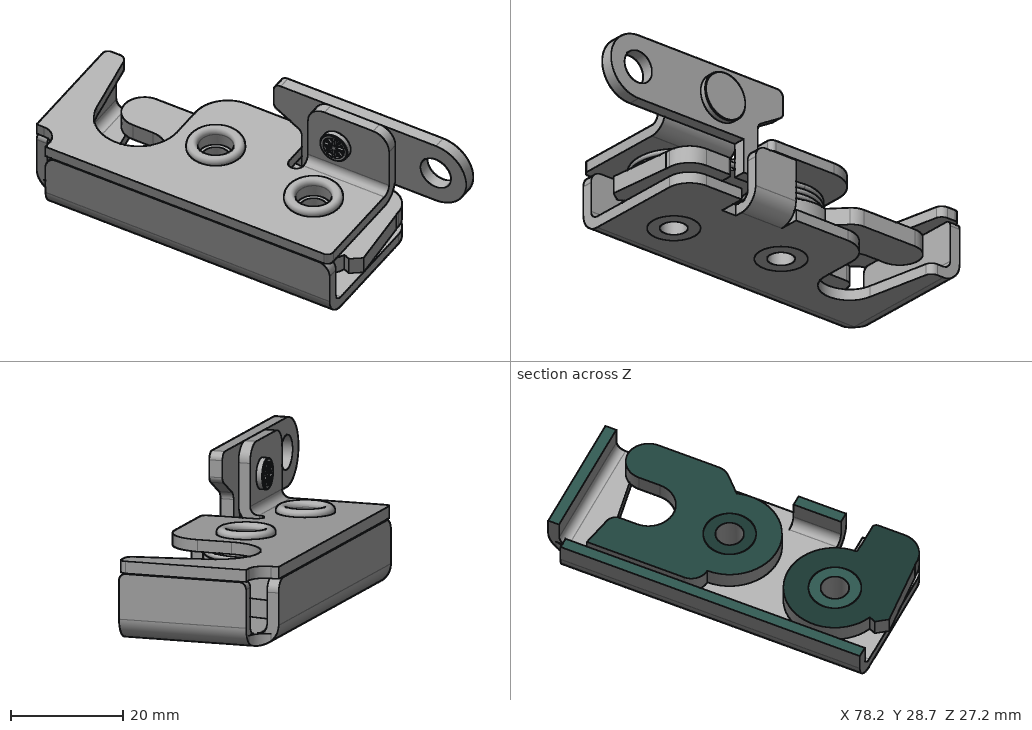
import cadquery as cq
import math

sheet = 2.2
overall_length = 78.2
case_length = 63.5
case_width = 28.6
wall_top = 12.1
cover_bottom = 12.3
cover_top = cover_bottom + sheet
overcut = 0.8

outer_bend = 3.9
inner_bend = outer_bend - sheet
front_wall_corner = 2.35
left_wall_corner = 1.2
rear_corner = 4.7
rear_wall_left = 38.0
rear_wall_right = 47.4
floor_relief_width = 3.2
floor_relief_depth = 5.5

notch_size = 4.5
notch_corner = 3.05

jaw_x = 14.6
jaw_y = 15.5
jaw_lean = 10.0
cover_jaw_radius = 8.0
floor_jaw_radius = 5.6
mouth_left_radius = 1.6
cover_mouth_radius = 6.65
floor_mouth_radius = 5.8

cover_corner = 1.2
tab_left = 46.7
relief_width = 2.9
relief_end = 17.5
relief_end_radius = 1.4
relief_mouth_radius = 1.0
tab_bend = 1.6
tab_front = 20.6
tab_back = tab_front + sheet
tab_corner = 3.4

rotor_pivot = (30.6, 15.55)
pawl_pivot = (52.8, 12.35)
bushing_diameter = 9.5
bushing_bore = 5.0
bushing_counterbore = 6.4
counterbore_depth = 2.2
rim_center_diameter = 8.5
rim_height = 1.25

cam_bottom = 4.1
cam_top = 7.4
rotor_radius = 9.4
rotor_front = 3.05
arm_radius = 4.15
arm_tip_x = 10.5
throat_radius = 4.85
lower_arm_tip = 1.95
lower_arm_x = 9.8
toe_x = 8.3
heel_radius = 3.1
shoulder_x = 23.7
shoulder_radius = 3.5
pawl_radius = 9.2
pawl_lug_left = 52.85
pawl_lug_corner = 0.8
tail_top = (63.55, 23.05)
tail_tip = (64.65, 9.85)
tail_bottom = (62.5, 8.3)

wire_diameter = 1.0
coil_pitch = 1.1
coil_turns = 3
coil_bottom = 8.1
coil_top = coil_bottom + coil_pitch * coil_turns
rotor_coil_radius = 7.1
pawl_coil_radius = 7.8

lever_thickness = 2.5
lever_back = tab_back + lever_thickness
lever_end_radius = 6.3
lever_end_x = overall_length - lever_end_radius
lever_top = 27.2
lever_axis = lever_top - lever_end_radius
lever_bottom = lever_axis - lever_end_radius
lever_hole = 6.3
lever_left = 38.2
nose_bottom = 22.0
nose_slope = 30.0
leg_left = 44.1
leg_right = 47.4
nose_top_radius = 1.4
nose_bottom_radius = 1.25
nose_root_radius = 1.65
leg_bottom = 7.8

rivet_x = 52.7
shank_diameter = 5.2
head_diameter = 9.4
head_thickness = 1.3
head_chamfer = 0.15
staked_diameter = 5.7
staked_thickness = 1.25
staked_chamfer = 0.15
rosette_diameter = 4.3
rosette_depth = 0.6
rosette_core = 1.0
rosette_ribs = 8
rosette_rib_width = 0.4


def block(x0, x1, y0, y1, z0, z1):
    return cq.Workplane("XY").box(x1 - x0, y1 - y0, z1 - z0, centered=False).translate((x0, y0, z0))


def post(center, diameter, z0, z1):
    return cq.Workplane("XY").workplane(offset=z0).center(*center).circle(diameter / 2).extrude(z1 - z0)


def rod_along_y(diameter, y0, y1):
    """Cylinder on the rivet axis from y0 to y1."""
    plane = cq.Plane(origin=(rivet_x, y0, lever_axis), xDir=(1, 0, 0), normal=(0, 1, 0))
    return cq.Workplane(plane).circle(diameter / 2).extrude(y1 - y0)


def round_edge(body, direction, point, radius):
    """Fillet the edge parallel to an axis that lies nearest to a point."""
    edge = body.edges("|" + direction).edges(cq.selectors.NearestToPointSelector(point))
    return edge.fillet(radius)


def corner_notch(z1):
    """Square cutter with one rounded edge, reaching from below the floor up to z1."""
    notch = block(-overcut, notch_size, -overcut, notch_size, -overcut, z1)
    return round_edge(notch, "Z", (notch_size, notch_size, z1 / 2), notch_corner)


def cut_jaw(body, radius, right_mouth_radius, z0, z1):
    """Cut the jaw slot into a sheet lying between z0 and z1, with rounded mouth corners."""
    lean = math.radians(jaw_lean)
    left_x = jaw_x - radius * math.cos(lean)
    left_y = jaw_y - radius * math.sin(lean)
    mouth_x = left_x - (case_width - left_y) * math.tan(lean)
    right_x = jaw_x + radius
    slot = (
        cq.Workplane("XY").workplane(offset=z0)
        .moveTo(mouth_x, case_width)
        .lineTo(left_x, left_y)
        .threePointArc((jaw_x, jaw_y - radius), (right_x, jaw_y))
        .lineTo(right_x, case_width)
        .close()
        .extrude(z1 - z0)
    )
    body = body.cut(slot)
    mid_z = (z0 + z1) / 2
    body = round_edge(body, "Z", (mouth_x, case_width, mid_z), mouth_left_radius)
    return round_edge(body, "Z", (right_x, case_width, mid_z), right_mouth_radius)


def add_rear_wall(housing):
    """Bend a short wall up from the rear edge of the floor, with a relief slot at its right end."""
    relief_right = rear_wall_right + floor_relief_width
    relief_front = case_width - floor_relief_depth
    wall = block(rear_wall_left, rear_wall_right, relief_front, case_width, 0, wall_top)
    wall = wall.edges(">Y and <Z").fillet(outer_bend)
    inside = block(rear_wall_left, rear_wall_right, 0, case_width - sheet, sheet, wall_top)
    wall = wall.cut(inside.edges(">Y and <Z").fillet(inner_bend))
    wall = round_edge(wall, "Y", (rear_wall_right, case_width, wall_top), front_wall_corner)
    floor_edge = block(rear_wall_left, relief_right, relief_front, case_width, 0, sheet)
    return housing.cut(floor_edge).union(wall)


def make_housing():
    """Floor with a bent-up left wall and front wall, open to the right and the rear."""
    housing = block(0, case_length, 0, case_width, 0, wall_top)
    housing = housing.edges("<Z and (<X or <Y)").fillet(outer_bend)
    cavity = block(sheet, case_length + overcut, sheet, case_width + overcut, sheet, wall_top + overcut)
    cavity = cavity.edges("<Z and (<X or <Y)").fillet(inner_bend)
    housing = housing.cut(cavity).cut(corner_notch(wall_top + overcut))
    housing = housing.cut(block(0, notch_size, 0, notch_size, sheet, wall_top))

    for x in (notch_size, case_length):
        housing = round_edge(housing, "Y", (x, sheet / 2, wall_top), front_wall_corner)
    for y in (notch_size, case_width):
        housing = round_edge(housing, "X", (0, y, wall_top), left_wall_corner)
    housing = round_edge(housing, "Z", (case_length, case_width, sheet / 2), rear_corner)

    housing = cut_jaw(housing, floor_jaw_radius, floor_mouth_radius, 0, sheet)
    housing = add_rear_wall(housing)
    for pivot in (rotor_pivot, pawl_pivot):
        housing = housing.cut(post(pivot, bushing_diameter, 0, sheet))
    return housing


def make_tab():
    """Upright tab with its bend, extruded along X."""
    bend_start = tab_front - tab_bend
    bend_z = cover_top + tab_bend
    inner = tab_bend * math.sqrt(0.5)
    outer = (tab_bend + sheet) * math.sqrt(0.5)
    tab = (
        cq.Workplane("YZ").workplane(offset=tab_left)
        .moveTo(bend_start, cover_bottom)
        .threePointArc((bend_start + outer, bend_z - outer), (tab_back, bend_z))
        .lineTo(tab_back, lever_top)
        .lineTo(tab_front, lever_top)
        .lineTo(tab_front, bend_z)
        .threePointArc((bend_start + inner, bend_z - inner), (bend_start, cover_top))
        .close()
        .extrude(case_length - tab_left)
    )
    return tab.edges("|Y and >Z").fillet(tab_corner)


def make_cover():
    """Flat cover with the jaw slot and an upright tab for the lever."""
    relief_left = tab_left - relief_width
    mid_z = (cover_bottom + cover_top) / 2
    cover = block(0, case_length, 0, case_width, cover_bottom, cover_top)
    cover = cover.cut(corner_notch(cover_top + overcut))
    cover = cut_jaw(cover, cover_jaw_radius, cover_mouth_radius, cover_bottom, cover_top)
    for corner in ((0, case_width, mid_z), (case_length, 0, mid_z)):
        cover = round_edge(cover, "Z", corner, cover_corner)

    relief = block(relief_left, tab_left, relief_end, case_width, cover_bottom, cover_top)
    relief = relief.edges("|Z and <Y").fillet(relief_end_radius)
    behind_tab = block(tab_left, case_length, tab_front - tab_bend, case_width, cover_bottom, cover_top)
    cover = cover.cut(relief).cut(behind_tab)
    cover = round_edge(cover, "Z", (relief_left, case_width, mid_z), relief_mouth_radius)

    cover = cover.union(make_tab())
    cover = cover.cut(rod_along_y(shank_diameter, tab_front, tab_back))
    for pivot in (rotor_pivot, pawl_pivot):
        cover = cover.cut(post(pivot, bushing_diameter, cover_bottom, cover_top))
    return cover


def make_bushing(pivot):
    """Hollow bushing from the floor to the cover, with a rolled rim on top."""
    rim_radius = (rim_center_diameter - bushing_counterbore) / 2
    rim_inside = bushing_counterbore / 2
    rim_center = rim_center_diameter / 2
    rim_top = cover_top + rim_height
    rim_mid = rim_top - rim_radius
    rim_foot = rim_center + math.sqrt(rim_radius**2 - (rim_mid - cover_top) ** 2)
    ledge_z = cover_top - counterbore_depth
    profile = (
        cq.Workplane("XZ")
        .moveTo(bushing_bore / 2, 0)
        .lineTo(bushing_diameter / 2, 0)
        .lineTo(bushing_diameter / 2, cover_top)
        .lineTo(rim_foot, cover_top)
        .threePointArc((rim_center, rim_top), (rim_inside, rim_mid))
        .lineTo(rim_inside, ledge_z)
        .lineTo(bushing_bore / 2, ledge_z)
        .close()
    )
    return profile.revolve(360, (0, 0, 0), (0, 1, 0)).translate((*pivot, 0))


def make_rotor():
    """C-shaped rotor: a round body with two arms around the throat."""
    thickness = cam_top - cam_bottom
    throat_top = jaw_y + throat_radius
    throat_bottom = jaw_y - throat_radius
    arm_top = throat_top + 2 * arm_radius
    arm_mid = throat_top + arm_radius
    layer = cq.Workplane("XY").workplane(offset=cam_bottom)

    rotor = layer.center(*rotor_pivot).circle(rotor_radius).extrude(thickness)
    upper_arm = (
        layer.moveTo(arm_tip_x, throat_top)
        .threePointArc((arm_tip_x - arm_radius, arm_mid), (arm_tip_x, arm_top))
        .lineTo(shoulder_x, arm_top)
        .lineTo(rotor_pivot[0], arm_top - (rotor_pivot[0] - shoulder_x))
        .lineTo(rotor_pivot[0], throat_top)
        .close()
        .extrude(thickness)
    )
    upper_arm = round_edge(upper_arm, "Z", (shoulder_x, arm_top, cam_top), shoulder_radius)
    web = block(jaw_x, rotor_pivot[0], rotor_front, throat_top, cam_bottom, cam_top)
    web = round_edge(web, "Z", (rotor_pivot[0], rotor_front, cam_top), heel_radius)
    lower_arm = (
        layer.moveTo(lower_arm_x, throat_bottom)
        .lineTo(jaw_x, throat_bottom)
        .lineTo(jaw_x, rotor_front)
        .lineTo(toe_x, rotor_front)
        .close()
        .extrude(thickness)
    )
    lower_arm = round_edge(lower_arm, "Z", (lower_arm_x, throat_bottom, cam_top), lower_arm_tip)

    rotor = rotor.union(upper_arm).union(web).union(lower_arm)
    rotor = rotor.cut(post((jaw_x, jaw_y), 2 * throat_radius, cam_bottom, cam_top))
    return rotor.cut(post(rotor_pivot, bushing_diameter, cam_bottom, cam_top))


def make_pawl():
    """Pawl: a round body with a lug to the rear and a tail past the right end of the housing."""
    thickness = cam_top - cam_bottom
    pawl = post(pawl_pivot, 2 * pawl_radius, cam_bottom, cam_top)
    lug = block(pawl_lug_left, case_length, pawl_pivot[1], case_width, cam_bottom, cam_top)
    lug = round_edge(lug, "Z", (pawl_lug_left, case_width, cam_top), pawl_lug_corner)
    lug = round_edge(lug, "Z", (case_length, case_width, cam_top), rear_corner)
    tail = (
        cq.Workplane("XY").workplane(offset=cam_bottom)
        .polyline([pawl_pivot, (pawl_pivot[0], tail_top[1]), tail_top, tail_tip, tail_bottom])
        .close()
        .extrude(thickness)
    )
    return pawl.union(lug).union(tail).cut(post(pawl_pivot, bushing_diameter, cam_bottom, cam_top))


def make_coil(pivot, radius, end_angle, left_handed):
    """Coil that ends at its top at the given angle about its pivot."""
    helix = cq.Wire.makeHelix(coil_pitch, coil_pitch * coil_turns, radius, lefthand=left_handed)
    coil = cq.Workplane("XZ").center(radius, 0).circle(wire_diameter / 2).sweep(helix, isFrenet=True)
    return coil.rotate((0, 0, 0), (0, 0, 1), end_angle).translate((*pivot, coil_bottom))


def make_spring():
    """Double torsion spring: opposite coils around both bushings, joined by a tangent leg."""
    dx = pawl_pivot[0] - rotor_pivot[0]
    dy = pawl_pivot[1] - rotor_pivot[1]
    distance = math.hypot(dx, dy)
    rise = math.asin((pawl_coil_radius - rotor_coil_radius) / distance)
    leg_angle = math.atan2(dy, dx) + rise
    end_angle = math.degrees(leg_angle) + 90
    leg_start = (
        rotor_pivot[0] - rotor_coil_radius * math.sin(leg_angle),
        rotor_pivot[1] + rotor_coil_radius * math.cos(leg_angle),
        coil_top,
    )
    leg_length = distance * math.cos(rise)
    leg_plane = cq.Plane(
        origin=leg_start,
        xDir=(0, 0, 1),
        normal=(math.cos(leg_angle), math.sin(leg_angle), 0),
    )
    leg = cq.Workplane(leg_plane).circle(wire_diameter / 2).extrude(leg_length)
    rotor_coil = make_coil(rotor_pivot, rotor_coil_radius, end_angle, left_handed=True)
    pawl_coil = make_coil(pawl_pivot, pawl_coil_radius, end_angle, left_handed=False)
    return rotor_coil.union(leg).union(pawl_coil)


def make_lever():
    """Flat lever with a nose, a rounded eye and a leg that reaches below the cover."""
    slope = math.tan(math.radians(nose_slope))
    root_z = nose_bottom - (leg_left - lever_left) * slope
    mid_y = (tab_back + lever_back) / 2
    lever = (
        cq.Workplane("XZ", origin=(0, lever_back, 0))
        .moveTo(lever_left, lever_top)
        .lineTo(lever_end_x, lever_top)
        .threePointArc((lever_end_x + lever_end_radius, lever_axis), (lever_end_x, lever_bottom))
        .lineTo(leg_right, lever_bottom)
        .lineTo(leg_right, leg_bottom)
        .lineTo(leg_left, leg_bottom)
        .lineTo(leg_left, root_z)
        .lineTo(lever_left, nose_bottom)
        .close()
        .extrude(lever_thickness)
    )
    lever = round_edge(lever, "Y", (lever_left, mid_y, lever_top), nose_top_radius)
    lever = round_edge(lever, "Y", (lever_left, mid_y, nose_bottom), nose_bottom_radius)
    lever = round_edge(lever, "Y", (leg_left, mid_y, root_z), nose_root_radius)

    eye = cq.Workplane("XZ", origin=(lever_end_x, lever_back, lever_axis))
    lever = lever.cut(eye.circle(lever_hole / 2).extrude(lever_thickness))
    return lever.cut(rod_along_y(shank_diameter, tab_back, lever_back))


def make_rivet():
    """Rivet with a flat head behind the lever and a staked rosette in front of the tab."""
    staked_face = tab_front - staked_thickness
    staked = rod_along_y(staked_diameter, staked_face, tab_front).faces("<Y").chamfer(staked_chamfer)
    recess_floor = staked_face + rosette_depth
    recess = rod_along_y(rosette_diameter, staked_face, recess_floor)
    recess = recess.cut(rod_along_y(rosette_core, staked_face, recess_floor))
    half_rib = rosette_rib_width / 2
    rib = block(0, rosette_diameter, staked_face, recess_floor, -half_rib, half_rib)
    for i in range(rosette_ribs):
        turned = rib.rotate((0, 0, 0), (0, 1, 0), i * 360 / rosette_ribs)
        recess = recess.cut(turned.translate((rivet_x, 0, lever_axis)))
    shank = rod_along_y(shank_diameter, tab_front, lever_back)
    head = rod_along_y(head_diameter, lever_back, lever_back + head_thickness)
    head = head.faces(">Y").chamfer(head_chamfer)
    return staked.cut(recess).union(shank).union(head)


housing = make_housing()
cover = make_cover()
bushings = [make_bushing(pivot) for pivot in (rotor_pivot, pawl_pivot)]
rotor = make_rotor()
pawl = make_pawl()
spring = make_spring()
lever = make_lever()
rivet = make_rivet()

result = cq.Compound.makeCompound([
    housing.val(),
    cover.val(),
    *[bushing.val() for bushing in bushings],
    rotor.val(),
    pawl.val(),
    spring.val(),
    lever.val(),
    rivet.val(),
])